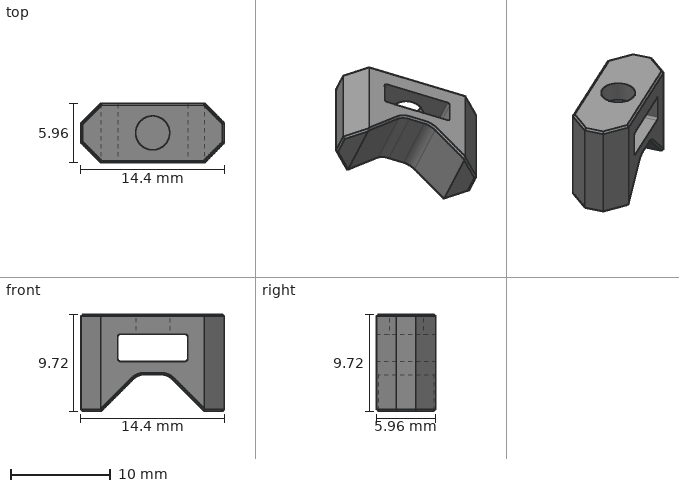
import cadquery as cq
import math

length = 14.36
width = 5.96
height = 9.72
corner_cut = 2.0
edge_chamfer = 0.2

window_length = 7.0
window_height = 2.7
window_top_depth = 2.0
window_corner_radius = 0.26

hole_diameter = 3.4

notch_mouth = length - 2 * corner_cut
notch_height = 3.69
notch_radius = 1.67
flank_angle = math.radians(45)


def octagonal_block():
    block = cq.Workplane("XY").box(length, width, height, centered=(True, True, False))
    return block.edges("|Z").chamfer(corner_cut)


def underside_notch():
    """Trapezoid whose flanks blend into the flat roof through tangent arcs."""
    half_mouth = notch_mouth / 2
    half_roof = half_mouth - notch_height / math.tan(flank_angle)
    profile = (
        cq.Workplane("XZ")
        .moveTo(-half_mouth, 0)
        .lineTo(-half_roof, notch_height)
        .lineTo(half_roof, notch_height)
        .lineTo(half_mouth, 0)
        .close()
    )
    notch = profile.extrude(width / 2, both=True)
    return notch.faces(">Z").edges("|Y").fillet(notch_radius)


def window():
    window_center_z = height - window_top_depth - window_height / 2
    opening = cq.Workplane("XY").box(window_length, width, window_height)
    return opening.edges("|Y").fillet(window_corner_radius).translate((0, 0, window_center_z))


def top_hole():
    depth = window_top_depth + window_height / 2
    return cq.Workplane("XY").workplane(offset=height - depth).circle(hole_diameter / 2).extrude(depth)


body = octagonal_block().cut(underside_notch())
rim_edges = body.edges("not(|Z or |Y)").add(body.edges("|Y and (<X or >X)"))
body = rim_edges.chamfer(edge_chamfer)
result = body.cut(window()).cut(top_hole())